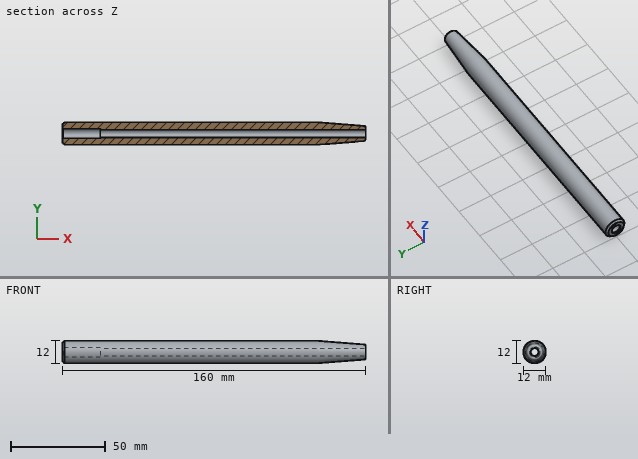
import cadquery as cq

length = 160.0
body_diameter = 12.0
body_radius = body_diameter / 2

taper_length = 25.3
tip_diameter = 8.2
tip_radius = tip_diameter / 2

back_chamfer = 1.1
tip_round = 1.0

bore_diameter = 4.0
socket_diameter = 5.0
socket_depth = 20.0
mouth_chamfer = 0.3

back_x = -length / 2
tip_x = length / 2


def rod():
    """Solid rod with a chamfered back end and a tapered, rounded tip."""
    profile = (
        cq.Workplane("XY")
        .moveTo(back_x, 0)
        .lineTo(back_x, body_radius - back_chamfer)
        .lineTo(back_x + back_chamfer, body_radius)
        .lineTo(tip_x - taper_length, body_radius)
        .lineTo(tip_x - tip_round, tip_radius)
        .radiusArc((tip_x, tip_radius - tip_round), tip_round)
        .lineTo(tip_x, 0)
        .close()
    )
    return profile.revolve(360, (0, 0, 0), (1, 0, 0))


def bore():
    """Cutting body for the through bore, the socket and its chamfered mouth."""
    bore_radius = bore_diameter / 2
    socket_radius = socket_diameter / 2
    profile = (
        cq.Workplane("XY")
        .moveTo(back_x, 0)
        .lineTo(back_x, socket_radius + mouth_chamfer)
        .lineTo(back_x + mouth_chamfer, socket_radius)
        .lineTo(back_x + socket_depth, socket_radius)
        .lineTo(back_x + socket_depth, bore_radius)
        .lineTo(tip_x, bore_radius)
        .lineTo(tip_x, 0)
        .close()
    )
    return profile.revolve(360, (0, 0, 0), (1, 0, 0))


result = rod().cut(bore())